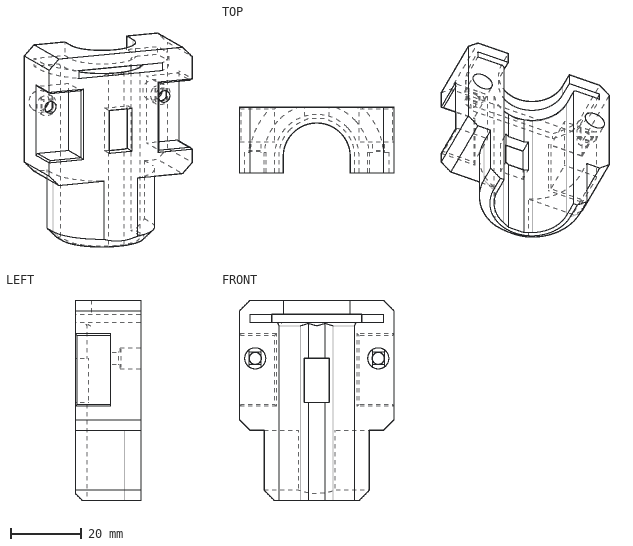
import cadquery as cq
import math


height = 57.0
width = 44.0
depth = 18.77
front_y = -4.7
back_y = front_y + depth
corner_chamfer = 3.0
overcut = 5.0

head_bottom_z = 20.0
neck_radius = 15.0

neck_bore_radius = 10.8
facet_angle = math.radians(25)
lip_radius = 1.0
mouth_radius = 9.5

flange_radius = 19.0
slot_bottom_z = 50.75
slot_top_z = 53.0

window_width = 7.0
window_bottom_z = 28.0
window_top_z = 40.5

screw_x = 17.5
screw_z = 40.5
screw_diameter = 3.4
head_diameter = 6.0
head_seat_y = 1.1
bridge_step = 0.3
bridge_height = 3.6

pocket_front_y = 4.1
pocket_inner_x = 12.0
pocket_bottom_z = 27.4
pocket_top_z = 47.0
pocket_chamfer = 0.5


def box(x_min, x_max, y_min, y_max, z_min, z_max):
    size = (x_max - x_min, y_max - y_min, z_max - z_min)
    return cq.Workplane("XY").box(*size, centered=False).translate((x_min, y_min, z_min))


def open_channel(radius, z_min, z_max):
    """U-shaped prism: half round about the Z axis, running straight out past the front face."""
    open_y = front_y - overcut
    return (
        cq.Workplane("XY", origin=(0, 0, z_min))
        .moveTo(-radius, open_y)
        .lineTo(-radius, 0)
        .threePointArc((0, radius), (radius, 0))
        .lineTo(radius, open_y)
        .close()
        .extrude(z_max - z_min)
    )


def make_body():
    head = box(-width / 2, width / 2, front_y, back_y, head_bottom_z, height)
    head = head.edges("|Y").chamfer(corner_chamfer)
    neck = open_channel(neck_radius, 0, slot_bottom_z)
    neck = neck.faces("<Z").edges("not <Y").chamfer(corner_chamfer)
    envelope = box(-width / 2, width / 2, front_y, back_y, 0, height)
    return head.union(neck.intersect(envelope))


def make_bore():
    """Neck bore whose back is a flat with a sloping facet on each side, all tangent to the round."""
    tangent_x = neck_bore_radius * math.sin(facet_angle)
    tangent_y = neck_bore_radius * math.cos(facet_angle)
    corner_x = neck_bore_radius * math.tan(facet_angle / 2)
    facets = (
        cq.Workplane("XY")
        .moveTo(-tangent_x, 0)
        .lineTo(-tangent_x, tangent_y)
        .lineTo(-corner_x, neck_bore_radius)
        .lineTo(corner_x, neck_bore_radius)
        .lineTo(tangent_x, tangent_y)
        .lineTo(tangent_x, 0)
        .close()
        .extrude(slot_bottom_z)
    )
    return open_channel(neck_bore_radius, 0, slot_bottom_z).union(facets)


def make_lip():
    """Cutter that rounds the upper rim of the neck bore along its arc and straight sides."""
    outer_radius = neck_bore_radius + lip_radius
    lip_bottom_z = slot_bottom_z - lip_radius
    arc_offset = lip_radius * math.sqrt(0.5)
    profile = (
        cq.Workplane("XZ")
        .moveTo(0, lip_bottom_z)
        .lineTo(neck_bore_radius, lip_bottom_z)
        .threePointArc((outer_radius - arc_offset, lip_bottom_z + arc_offset), (outer_radius, slot_bottom_z))
        .lineTo(0, slot_bottom_z)
        .close()
    )
    straight_side = profile.extrude(overcut - front_y)
    round_end = profile.toPending().revolve(360, (0, 0), (0, 1))
    return round_end.union(straight_side).union(straight_side.mirror("YZ"))


def make_screw_hole(x):
    """Counterbore with two bridging steps, a chord-wide slot then a square, ahead of the round hole."""
    plane = cq.Workplane("XZ", origin=(x, front_y, screw_z))
    counterbore_depth = head_seat_y - front_y
    half_width = screw_diameter / 2
    half_height = bridge_height / 2
    hole = plane.circle(screw_diameter / 2).extrude(-depth)
    counterbore = plane.circle(head_diameter / 2).extrude(-counterbore_depth)
    slot = plane.circle(head_diameter / 2).extrude(-(counterbore_depth + bridge_step))
    slot = slot.intersect(plane.rect(screw_diameter, head_diameter).extrude(-depth))
    square = box(
        x - half_width, x + half_width,
        front_y, head_seat_y + 2 * bridge_step,
        screw_z - half_height, screw_z + half_height,
    )
    return hole.union(counterbore).union(slot).union(square)


def make_left_pocket():
    """Pocket open to the side and back, with chamfered mouth edges except along its front wall."""
    side_x = -width / 2
    inner_x = -pocket_inner_x
    pocket = box(side_x, inner_x, pocket_front_y, back_y, pocket_bottom_z, pocket_top_z)
    side_mouth = (
        cq.Workplane("XZ", origin=(0, pocket_front_y, 0))
        .moveTo(side_x, pocket_bottom_z - pocket_chamfer)
        .lineTo(side_x + pocket_chamfer, pocket_bottom_z)
        .lineTo(side_x + pocket_chamfer, pocket_top_z)
        .lineTo(side_x, pocket_top_z + pocket_chamfer)
        .close()
        .extrude(pocket_front_y - back_y)
    )
    back_mouth = (
        box(
            side_x, inner_x + pocket_chamfer,
            back_y - pocket_chamfer, back_y + overcut,
            pocket_bottom_z - pocket_chamfer, pocket_top_z + pocket_chamfer,
        )
        .faces("<Y").edges("not <X").chamfer(pocket_chamfer)
    )
    return pocket.union(side_mouth).union(back_mouth)


def make_window():
    half_width = window_width / 2
    return box(-half_width, half_width, 0, back_y, window_bottom_z, window_top_z)


result = make_body()
result = result.cut(make_bore())
result = result.cut(make_lip())
result = result.cut(open_channel(flange_radius, slot_bottom_z, slot_top_z))
result = result.cut(open_channel(mouth_radius, slot_top_z, height))
result = result.cut(make_window())
for hole_x in (-screw_x, screw_x):
    result = result.cut(make_screw_hole(hole_x))
left_pocket = make_left_pocket()
result = result.cut(left_pocket).cut(left_pocket.mirror("YZ"))